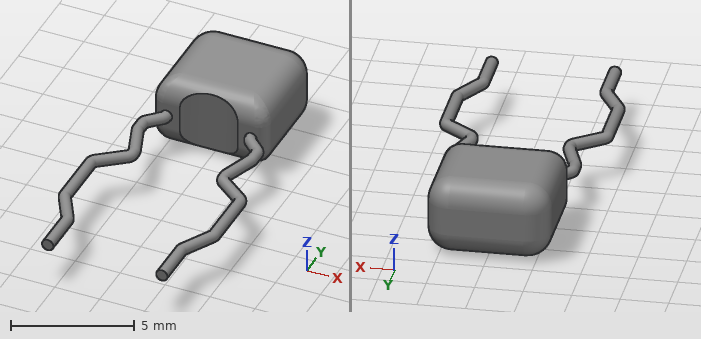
import cadquery as cq


HOUSING_WIDTH = 5.08
HOUSING_DEPTH = 4.81
HOUSING_HEIGHT = 3.19
EDGE_RADIUS = 1.0
FRONT_CORNER_RADIUS = EDGE_RADIUS / 2

RECESS_WIDTH = 2.58
RECESS_DEPTH = 0.36

LEAD_DIAMETER = 0.51
BEND_RADIUS = 0.28
OVERALL_WIDTH = 7.15
OVERALL_LENGTH = 14.98

ROOT_X = 1.89
WAIST_X = 2.04
BULGE_X = (OVERALL_WIDTH - LEAD_DIAMETER) / 2
FOOT_X = HOUSING_WIDTH / 2
TIP_Y = HOUSING_DEPTH - OVERALL_LENGTH

LEAD_CORNERS = [
    (ROOT_X, 0),
    (ROOT_X, -0.15),
    (FOOT_X, -0.78),
    (FOOT_X, -1.36),
    (WAIST_X, -2.79),
    (WAIST_X, -3.15),
    (BULGE_X, -4.13),
    (BULGE_X, -6.8),
    (FOOT_X, -8.21),
    (FOOT_X, TIP_Y),
]


def make_recess_cutter():
    """Prism with a round-topped profile, standing through the whole height of the housing."""
    half_width = RECESS_WIDTH / 2
    return (
        cq.Workplane("XY")
        .moveTo(-half_width, 0)
        .threePointArc((0, RECESS_DEPTH), (half_width, 0))
        .close()
        .extrude(HOUSING_HEIGHT, both=True)
    )


def make_housing():
    """Block with rounded edges, tighter at the front corners, and a recessed front."""
    block = cq.Workplane("XY").box(HOUSING_WIDTH, HOUSING_DEPTH, HOUSING_HEIGHT)
    block = block.translate((0, HOUSING_DEPTH / 2, 0))
    rounded = block.edges("(#Z) or (|Z and >Y)").fillet(EDGE_RADIUS)
    half_width = HOUSING_WIDTH / 2
    for side in (-1, 1):
        x_near, x_far = sorted((side * (half_width - EDGE_RADIUS), side * half_width))
        corner = cq.selectors.BoxSelector(
            (x_near, 0, -HOUSING_HEIGHT), (x_far, EDGE_RADIUS, HOUSING_HEIGHT)
        )
        rounded = rounded.edges(corner).fillet(FRONT_CORNER_RADIUS)
    return rounded.cut(make_recess_cutter()).solids()


def make_lead(side):
    """Bent round wire; side is 1 for the right-hand lead and -1 for its mirror image."""
    corners = [cq.Vector(side * x, y, 0) for x, y in LEAD_CORNERS]
    sharp = cq.Wire.makePolygon(corners)
    inner = [v for v in sharp.Vertices() if TIP_Y < v.Y < 0]
    centre_line = sharp.fillet2D(BEND_RADIUS, inner)
    section = cq.Workplane("XZ").center(side * ROOT_X, 0).circle(LEAD_DIAMETER / 2)
    return section.sweep(cq.Workplane(centre_line))


housing = make_housing()
leads = [make_lead(side) for side in (-1, 1)]

result = cq.Compound.makeCompound([housing.val(), *(lead.val() for lead in leads)])